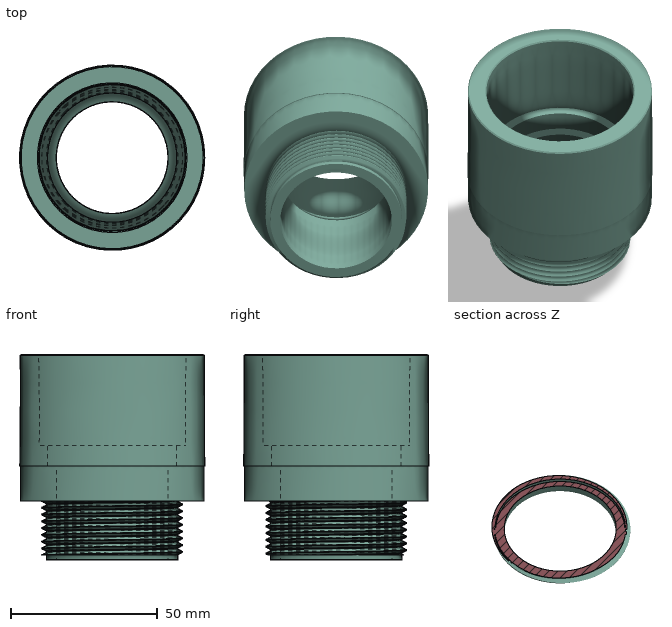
import cadquery as cq
import math

collar_bottom = 20.0
collar_top = 32.0
socket_floor = 39.0
rim_height = 70.0

collar_diameter = 62.6
shell_base_diameter = 63.1
shell_top_diameter = 62.8
rim_edge_chamfer = 0.4
socket_floor_diameter = 49.8
socket_mouth_diameter = 50.2
mouth_chamfer = 0.4

bore_diameter = 38.0
step_diameter = 44.0
step_floor = collar_top

inch = 25.4
threads_per_inch = 11
thread_pitch = inch / threads_per_inch
thread_root_diameter = 44.84
thread_crest_diameter = 48.0
thread_flank_angle = 27.5
thread_crest_width = 0.2
thread_start = 1.65
thread_root_overlap = 0.3
lowest_full_crest = 2.75
lead_in_turns = 2
thread_turns = 10.5
helix_start = lowest_full_crest - lead_in_turns * thread_pitch


def make_outer_shell():
    """Threaded stub, plain collar and tapered shell with a chamfered rim."""
    stub_radius = thread_root_diameter / 2
    collar_radius = collar_diameter / 2
    top_radius = shell_top_diameter / 2
    profile = (
        cq.Workplane("XZ")
        .moveTo(0, 0)
        .lineTo(stub_radius, 0)
        .lineTo(stub_radius, collar_bottom)
        .lineTo(collar_radius, collar_bottom)
        .lineTo(collar_radius, collar_top)
        .lineTo(shell_base_diameter / 2, collar_top)
        .lineTo(top_radius, rim_height - rim_edge_chamfer)
        .lineTo(top_radius - rim_edge_chamfer, rim_height)
        .lineTo(0, rim_height)
        .close()
    )
    return profile.revolve(360, (0, 0, 0), (0, 1, 0))


def make_passage():
    """Through bore, counterbore step and tapered pipe socket."""
    bore_radius = bore_diameter / 2
    step_radius = step_diameter / 2
    mouth_radius = socket_mouth_diameter / 2
    profile = (
        cq.Workplane("XZ")
        .moveTo(0, 0)
        .lineTo(bore_radius, 0)
        .lineTo(bore_radius, step_floor)
        .lineTo(step_radius, step_floor)
        .lineTo(step_radius, socket_floor)
        .lineTo(socket_floor_diameter / 2, socket_floor)
        .lineTo(mouth_radius, rim_height - mouth_chamfer)
        .lineTo(mouth_radius + mouth_chamfer, rim_height)
        .lineTo(0, rim_height)
        .close()
    )
    return profile.revolve(360, (0, 0, 0), (0, 1, 0))


def make_thread():
    """Helical ridge, cut flat at its start and at the underside of the collar."""
    base_radius = thread_root_diameter / 2 - thread_root_overlap
    crest_radius = thread_crest_diameter / 2
    crest_half = thread_crest_width / 2
    flank_run = (crest_radius - base_radius) * math.tan(math.radians(thread_flank_angle))
    base_half = crest_half + flank_run

    helix = cq.Wire.makeHelix(thread_pitch, thread_turns * thread_pitch, base_radius)
    ridge = (
        cq.Workplane("XZ")
        .moveTo(base_radius, -base_half)
        .lineTo(crest_radius, -crest_half)
        .lineTo(crest_radius, crest_half)
        .lineTo(base_radius, base_half)
        .close()
        .sweep(cq.Workplane(obj=helix), isFrenet=True)
        .translate((0, 0, helix_start))
    )
    threaded_zone = (
        cq.Workplane("XY")
        .workplane(offset=thread_start)
        .circle(shell_base_diameter / 2)
        .extrude(collar_bottom - thread_start)
    )
    return ridge.intersect(threaded_zone)


result = make_outer_shell().union(make_thread()).cut(make_passage())